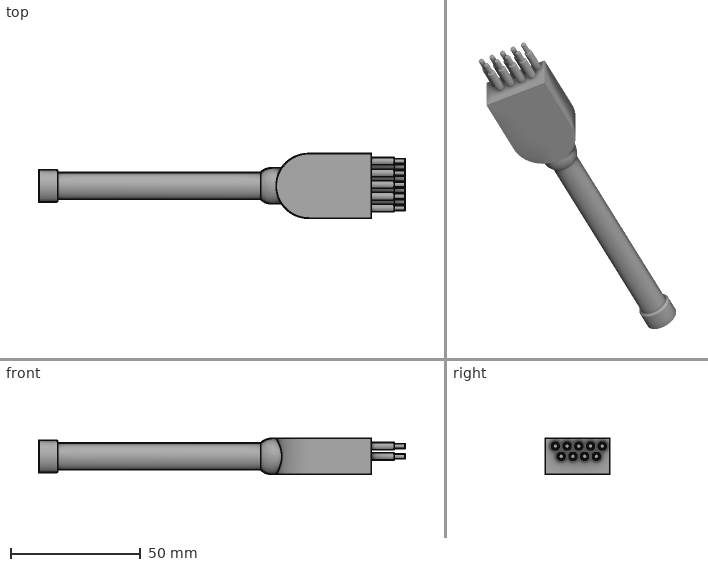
import cadquery as cq

total_length = 141.0
body_width = 25.0
body_height = 14.0

cable_diameter = 10.5
cap_diameter = 12.5
cap_length = 7.3
cap_round = 0.8

collar_diameter = body_height
collar_start = 85.5
collar_dome_length = 4.2

body_nose_x = 91.4
body_end_x = 128.0
nose_radius = body_width / 2
nose_center_x = body_nose_x + nose_radius

pin_diameter = 3.0
pin_shoulder_x = 136.8
tip_diameter = 2.0
pin_pitch = 4.5
pin_rows_y = 0.5
upper_row_count = 5
upper_row_z = 4.0
lower_row_count = 4
lower_row_z = 0.0
shoulder_round = 0.4
tip_round = 0.3


def cylinder_along_x(start_x, end_x, diameter, y=0.0, z=0.0):
    return cq.Workplane("YZ", origin=(start_x, y, z)).circle(diameter / 2).extrude(end_x - start_x)


def make_cable():
    cable = cylinder_along_x(0, nose_center_x, cable_diameter)
    cap = cylinder_along_x(0, cap_length, cap_diameter).edges(">X").fillet(cap_round)
    return cable.union(cap)


def make_collar():
    """Collar whose dome is an arc, tangent to the collar and rising from the cable surface."""
    cable_radius = cable_diameter / 2
    collar_radius = collar_diameter / 2
    rise = collar_radius - cable_radius
    dome_end = collar_start + collar_dome_length
    dome_radius = (collar_dome_length**2 + rise**2) / (2 * rise)
    middle_offset = collar_dome_length / 2
    middle_drop = dome_radius - (dome_radius**2 - middle_offset**2) ** 0.5
    profile = (
        cq.Workplane("XY")
        .moveTo(collar_start, 0)
        .lineTo(collar_start, cable_radius)
        .threePointArc((dome_end - middle_offset, collar_radius - middle_drop), (dome_end, collar_radius))
        .lineTo(nose_center_x, collar_radius)
        .lineTo(nose_center_x, 0)
        .close()
    )
    return profile.revolve(360, (0, 0, 0), (1, 0, 0))


def make_body():
    outline = (
        cq.Workplane("XY", origin=(0, 0, -body_height / 2))
        .moveTo(body_end_x, -nose_radius)
        .lineTo(nose_center_x, -nose_radius)
        .threePointArc((body_nose_x, 0), (nose_center_x, nose_radius))
        .lineTo(body_end_x, nose_radius)
        .close()
    )
    return outline.extrude(body_height)


def make_pin(y, z):
    """Stepped pin that starts inside the body, with rounded shoulder and tip."""
    root_x = body_end_x - pin_diameter
    shank = cylinder_along_x(root_x, pin_shoulder_x, pin_diameter, y, z).edges(">X").fillet(shoulder_round)
    tip = cylinder_along_x(root_x, total_length, tip_diameter, y, z).edges(">X").fillet(tip_round)
    return shank.union(tip)


def add_pin_row(part, count, z):
    for index in range(count):
        y = pin_rows_y + (index - (count - 1) / 2) * pin_pitch
        part = part.union(make_pin(y, z))
    return part


result = make_body().union(make_collar()).union(make_cable())
result = add_pin_row(result, upper_row_count, upper_row_z)
result = add_pin_row(result, lower_row_count, lower_row_z)